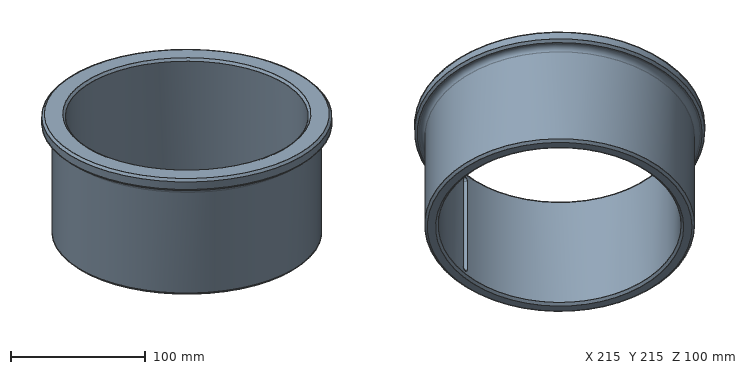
import cadquery as cq

flange_diameter = 215.0
body_diameter = 200.0
bore_diameter = 180.0
height = 100.0
flange_thickness = 10.0
neck_fillet = 4.3
edge_chamfer = 2.0
groove_radius = 2.4
groove_end_gap = 5.0

flange_radius = flange_diameter / 2
body_radius = body_diameter / 2
bore_radius = bore_diameter / 2
flange_bottom = height - flange_thickness


def flanged_sleeve():
    """Revolve the wall section about Z, with the top face at the full height."""
    section = (
        cq.Workplane("XZ")
        .moveTo(bore_radius + edge_chamfer, 0)
        .lineTo(body_radius - edge_chamfer, 0)
        .lineTo(body_radius, edge_chamfer)
        .lineTo(body_radius, flange_bottom - neck_fillet)
        .radiusArc((body_radius + neck_fillet, flange_bottom), neck_fillet)
        .lineTo(flange_radius - edge_chamfer, flange_bottom)
        .lineTo(flange_radius, flange_bottom + edge_chamfer)
        .lineTo(flange_radius, height - edge_chamfer)
        .lineTo(flange_radius - edge_chamfer, height)
        .lineTo(bore_radius + edge_chamfer, height)
        .lineTo(bore_radius, height - edge_chamfer)
        .lineTo(bore_radius, edge_chamfer)
        .close()
    )
    return section.revolve(360, (0, 0, 0), (0, 1, 0))


def bore_groove():
    """Lengthwise round-bottomed groove cutter with spherical ends, on the +X side of the bore."""
    lower_center = (bore_radius, 0, groove_end_gap + groove_radius)
    upper_center = (bore_radius, 0, height - groove_end_gap - groove_radius)
    straight_length = upper_center[2] - lower_center[2]
    groove = cq.Workplane("XY", origin=lower_center).circle(groove_radius).extrude(straight_length)
    for center in (lower_center, upper_center):
        groove = groove.union(cq.Workplane("XY", origin=center).sphere(groove_radius))
    return groove


result = flanged_sleeve().cut(bore_groove())